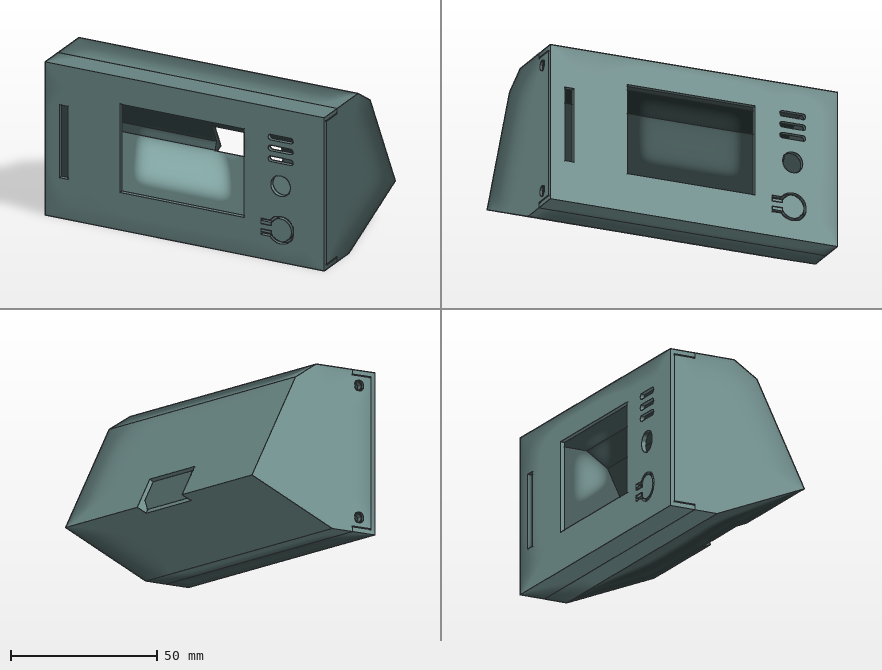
import cadquery as cq
import math

LENGTH = 107.8
DEPTH = 52.1
HEIGHT = 56.6

WALL = 1.6
LEFT_WALL = 3.0
RIGHT_WALL = 4.0
TAB_CLEARANCE = 0.3
INNER_CORNER_CHAMFER = 2.3

BOTTOM_DEPTH = 18.1
REAR_EDGE_HEIGHT = 14.4
SHOULDER_DEPTH = 33.6
SHOULDER_HEIGHT = 51.0
TOP_DEPTH = 24.8

COVER_DEPTH = 9.5

SCREW_DEPTH = 6.7
SCREW_EDGE_DISTANCE = 5.3
SCREW_DIAMETER = 2.9
COUNTERBORE_DIAMETER = 3.8
COUNTERBORE_DEPTH = 1.0

NOTCH_LEFT = 40.4
NOTCH_WIDTH = 25.9
NOTCH_LENGTH = 11.8
NOTCH_DEPTH = 4.1

WINDOW = (28.9, 13.9, 48.0, 32.7)
CARD_SLOT = (5.5, 14.9, 3.5, 27.0)

CONTROL_X = 91.0
VENT_COUNT = 3
VENT_LENGTH = 9.6
VENT_HEIGHT = 2.0
VENT_PITCH = 4.0
LOWEST_VENT_Z = 37.5
SENSOR_Z = 28.1
SENSOR_DIAMETER = 7.5

BUTTON_Z = 11.9
BUTTON_RADIUS = 4.2
BUTTON_GAP = 0.9
STEM_LEFT = 83.3
STEM_HEIGHT = 4.1
SLIT_HEIGHT = 1.0
HINGE_GROOVE_RIGHT = 87.2
HINGE_GROOVE_HEIGHT = 1.1
HINGE_GROOVE_DEPTH = 0.3


def block(x, y, z, dx, dy, dz):
    """Box with its lowest corner at x, y, z."""
    return cq.Workplane("XY").box(dx, dy, dz, centered=False).translate((x, y, z))


def end_outline(front):
    """Closed end outline of the case in the YZ plane, with its front side at Y = front."""
    return cq.Workplane("YZ").polyline([
        (front, 0),
        (BOTTOM_DEPTH, 0),
        (DEPTH, REAR_EDGE_HEIGHT),
        (SHOULDER_DEPTH, SHOULDER_HEIGHT),
        (TOP_DEPTH, HEIGHT),
        (front, HEIGHT),
    ]).close()


def make_cavity():
    """Inside of the case, open at the front, with the rear bottom corner chamfered."""
    cavity = end_outline(-WALL).offset2D(-WALL, "intersection")
    cavity = cavity.extrude(LENGTH - LEFT_WALL - RIGHT_WALL)
    return cavity.edges(">Y").chamfer(INNER_CORNER_CHAMFER).translate((LEFT_WALL, 0, 0))


def make_cover_space():
    """Room left free for the cover: all of the front except a tab on each end wall."""
    space = block(0, 0, 0, LENGTH, COVER_DEPTH, HEIGHT)
    tab_z = WALL + TAB_CLEARANCE
    tab_height = HEIGHT - 2 * tab_z
    for x, thickness in ((0, LEFT_WALL), (LENGTH - RIGHT_WALL, RIGHT_WALL)):
        space = space.cut(block(x, WALL, tab_z, thickness, COVER_DEPTH - WALL, tab_height))
    return space


def make_screw_hole(z):
    """Counterbored hole through the left end wall."""
    start = cq.Workplane("YZ").center(SCREW_DEPTH, z)
    hole = start.circle(SCREW_DIAMETER / 2).extrude(LEFT_WALL)
    return hole.union(start.circle(COUNTERBORE_DIAMETER / 2).extrude(COUNTERBORE_DEPTH))


def make_rear_notch():
    """Cable notch, square to the sloping rear wall and open at the rear edge."""
    rear_slope = math.degrees(math.atan2(SHOULDER_HEIGHT - REAR_EDGE_HEIGHT, DEPTH - SHOULDER_DEPTH))
    lean = 90 - rear_slope
    notch = block(0, -NOTCH_DEPTH, -NOTCH_DEPTH, NOTCH_WIDTH, 2 * NOTCH_DEPTH, NOTCH_LENGTH + NOTCH_DEPTH)
    notch = notch.rotate((0, 0, 0), (1, 0, 0), lean)
    return notch.translate((NOTCH_LEFT, DEPTH, REAR_EDGE_HEIGHT))


def make_housing():
    housing = end_outline(0).extrude(LENGTH).cut(make_cavity()).cut(make_cover_space())
    for z in (SCREW_EDGE_DISTANCE, HEIGHT - SCREW_EDGE_DISTANCE):
        housing = housing.cut(make_screw_hole(z))
    return housing.cut(make_rear_notch())


def cover_opening(left, bottom, width, height):
    """Rectangular cutter through the front of the cover."""
    return block(left, 0, bottom, width, WALL, height)


def cover_disc(z, radius):
    """Round cutter through the front of the cover, on the column of controls."""
    return cq.Workplane("XZ").center(CONTROL_X, z).circle(radius).extrude(-WALL)


def make_vents():
    vents = cq.Workplane("XZ")
    vents = vents.pushPoints([(CONTROL_X, LOWEST_VENT_Z + i * VENT_PITCH) for i in range(VENT_COUNT)])
    return vents.slot2D(VENT_LENGTH, VENT_HEIGHT).extrude(-WALL)


def make_button_gap():
    """Ring around the button, open at the stem, with a slit along each side of the stem."""
    slit_length = CONTROL_X - STEM_LEFT
    stem_bottom = BUTTON_Z - STEM_HEIGHT / 2
    slot = cover_opening(STEM_LEFT, stem_bottom - SLIT_HEIGHT, slit_length, STEM_HEIGHT + 2 * SLIT_HEIGHT)
    gap = cover_disc(BUTTON_Z, BUTTON_RADIUS + BUTTON_GAP).union(slot)
    stem = cover_opening(STEM_LEFT, stem_bottom, slit_length, STEM_HEIGHT)
    return gap.cut(cover_disc(BUTTON_Z, BUTTON_RADIUS)).cut(stem)


def make_hinge_grooves():
    """Shallow grooves along both edges of the stem that let it bend."""
    stem_bottom = BUTTON_Z - STEM_HEIGHT / 2
    length = HINGE_GROOVE_RIGHT - STEM_LEFT
    lower = block(STEM_LEFT, 0, stem_bottom, length, HINGE_GROOVE_DEPTH, HINGE_GROOVE_HEIGHT)
    upper = lower.translate((0, 0, STEM_HEIGHT - HINGE_GROOVE_HEIGHT))
    return lower.union(upper)


def make_cover():
    """Channel over the front of the case: a front plate with a leg above and below."""
    inside = block(0, WALL, WALL, LENGTH, COVER_DEPTH, HEIGHT - 2 * WALL)
    cover = block(0, 0, 0, LENGTH, COVER_DEPTH, HEIGHT).cut(inside)
    cover = cover.cut(cover_opening(*WINDOW)).cut(cover_opening(*CARD_SLOT))
    cover = cover.cut(make_vents()).cut(cover_disc(SENSOR_Z, SENSOR_DIAMETER / 2))
    return cover.cut(make_button_gap()).cut(make_hinge_grooves())


housing = make_housing()
cover = make_cover()
result = cq.Compound.makeCompound([housing.val(), cover.val()])